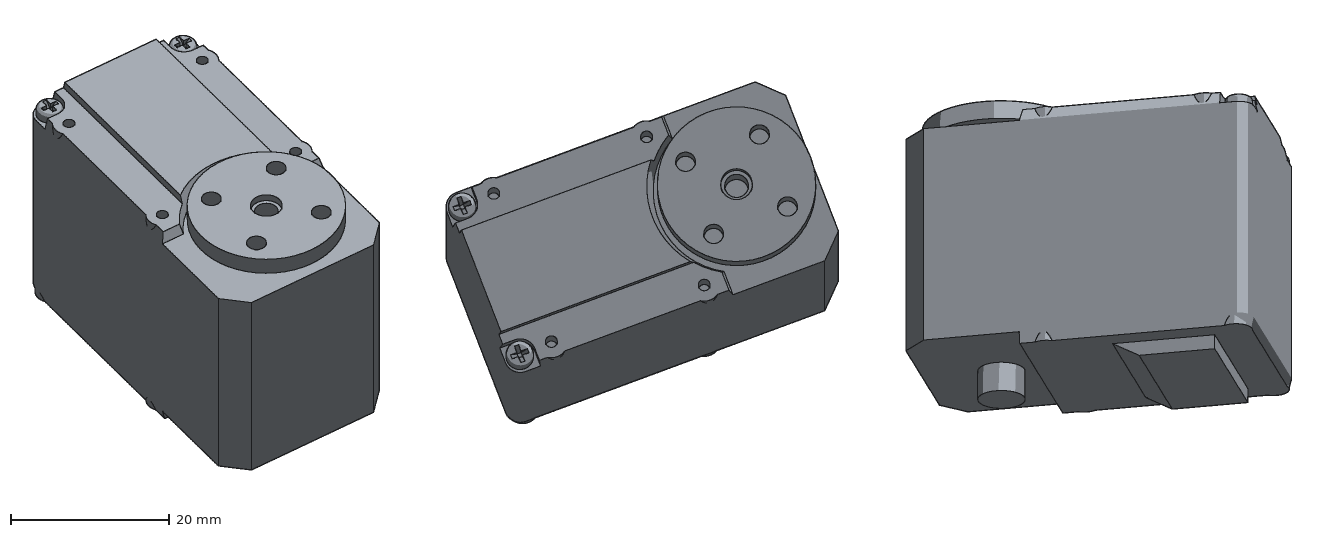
import cadquery as cq

CASE_LENGTH = 45.4
CASE_WIDTH = 24.8
CASE_HEIGHT = 28.85
CORNER_RADIUS = 2.0
NOSE_CHAMFER = 3.0
HALF_WIDTH = CASE_WIDTH / 2

LID_LENGTH = 30.0
DRAFT_ANGLE = 14.0
SHELF_HEIGHT = 1.6
RIDGE_HEIGHT = 2.72
RIDGE_WIDTH = 14.07
BOTTOM_LID_HEIGHT = 1.45
SCREW_HOLE_DIAMETER = 1.5
SCREW_HOLE_DEPTH = 3.0
BOSS_RADIUS = 2.1
BOSS_EDGE_DISTANCE = 2.15
BOSS_Y = HALF_WIDTH - BOSS_EDGE_DISTANCE
TOP_BOSS_X = (6.25, 26.9)
BOTTOM_BOSS_X = (2.35, 26.9)

CORNER_NOTCH = 4.0
SCREW_X = CORNER_NOTCH / 2
SCREW_HEAD_DIAMETER = 3.5
SCREW_HEAD_HEIGHT = 1.35
SCREW_HEAD_FILLET = 0.6
CROSS_LENGTH = 2.25
CROSS_WIDTH = 0.55
CROSS_DEPTH = 0.9

PLUG_START_X = 5.35
PLUG_FLAT_END_X = 15.15
PLUG_SLOPE_END_X = 18.6
PLUG_WIDTH = 18.55
PLUG_HEIGHT = 1.9

AXIS_X = 35.2
IDLER_DIAMETER = 6.0
IDLER_LENGTH = 3.85
HORN_DIAMETER = 20.0
HORN_THICKNESS = 2.4
HUB_DIAMETER = 9.0
HUB_HEIGHT = SHELF_HEIGHT
HORN_HOLE_DIAMETER = 2.5
HORN_HOLE_SPACING = 10.0
BORE_DIAMETER = 3.0
COUNTERBORE_DIAMETER = 4.0
COUNTERBORE_DEPTH = 1.0
RELIEF_BOTTOM_RADIUS = 10.55
RELIEF_TOP_RADIUS = 11.35


def make_case_block():
    block = cq.Workplane("XY").box(
        CASE_LENGTH, CASE_WIDTH, CASE_HEIGHT, centered=(False, True, False)
    )
    block = block.edges("|Z and <X").fillet(CORNER_RADIUS)
    return block.edges("|Z and >X").chamfer(NOSE_CHAMFER)


def make_bosses(x_positions, base_z, height):
    """Upright cylinders along both long sides that stand out of the drafted walls."""
    centers = [(x, side * BOSS_Y) for x in x_positions for side in (-1, 1)]
    return (
        cq.Workplane("XY", origin=(0, 0, base_z))
        .pushPoints(centers)
        .circle(BOSS_RADIUS)
        .extrude(height)
    )


def make_horn_relief():
    """Upward-opening cone that clears the horn."""
    base_center = cq.Vector(AXIS_X, 0, CASE_HEIGHT)
    cone = cq.Solid.makeCone(RELIEF_BOTTOM_RADIUS, RELIEF_TOP_RADIUS, RIDGE_HEIGHT, base_center)
    return cq.Workplane(cone)


def make_corner_notch(side):
    """Screw pocket in one corner of the top lid, rounded at its inner corner."""
    center_y = side * (HALF_WIDTH - CORNER_NOTCH / 2)
    notch = cq.Workplane("XY", origin=(CORNER_NOTCH / 2, center_y, CASE_HEIGHT)).box(
        CORNER_NOTCH, CORNER_NOTCH, RIDGE_HEIGHT, centered=(True, True, False)
    )
    inner_edge = "|Z and >X and <Y" if side > 0 else "|Z and >X and >Y"
    return notch.edges(inner_edge).fillet(CORNER_RADIUS)


def make_shelf_cut(side):
    """Space beside the ridge, above one of the two low shelves."""
    cut_width = (CASE_WIDTH - RIDGE_WIDTH) / 2
    cut_y = side * (RIDGE_WIDTH + cut_width) / 2
    return cq.Workplane("XY", origin=(0, cut_y, CASE_HEIGHT + SHELF_HEIGHT)).box(
        LID_LENGTH, cut_width, RIDGE_HEIGHT, centered=(False, True, False)
    )


def make_top_lid():
    lid = (
        cq.Workplane("XY", origin=(LID_LENGTH / 2, 0, CASE_HEIGHT))
        .rect(LID_LENGTH, CASE_WIDTH)
        .extrude(RIDGE_HEIGHT, taper=DRAFT_ANGLE)
    )
    for side in (-1, 1):
        lid = lid.cut(make_shelf_cut(side))
    lid = lid.union(make_bosses(TOP_BOSS_X, CASE_HEIGHT, SHELF_HEIGHT))
    lid = lid.cut(make_horn_relief())
    for side in (-1, 1):
        lid = lid.cut(make_corner_notch(side))
    return lid


def make_screw_holes():
    centers = [(x, side * BOSS_Y) for x in TOP_BOSS_X for side in (-1, 1)]
    return (
        cq.Workplane("XY", origin=(0, 0, CASE_HEIGHT + SHELF_HEIGHT))
        .pushPoints(centers)
        .circle(SCREW_HOLE_DIAMETER / 2)
        .extrude(-SCREW_HOLE_DEPTH)
    )


def make_screw_head(side):
    """Rounded head with a cross recess whose arms slope down to a flat square in the middle."""
    head = cq.Workplane("XY").circle(SCREW_HEAD_DIAMETER / 2).extrude(SCREW_HEAD_HEIGHT)
    head = head.faces(">Z").edges().fillet(SCREW_HEAD_FILLET)
    arm = (
        cq.Workplane("XZ")
        .moveTo(-CROSS_LENGTH / 2, SCREW_HEAD_HEIGHT)
        .lineTo(CROSS_LENGTH / 2, SCREW_HEAD_HEIGHT)
        .lineTo(CROSS_WIDTH / 2, SCREW_HEAD_HEIGHT - CROSS_DEPTH)
        .lineTo(-CROSS_WIDTH / 2, SCREW_HEAD_HEIGHT - CROSS_DEPTH)
        .close()
        .extrude(CROSS_WIDTH / 2, both=True)
    )
    head = head.cut(arm).cut(arm.rotate((0, 0, 0), (0, 0, 1), 90))
    return head.translate((SCREW_X, side * BOSS_Y, CASE_HEIGHT))


def make_bottom_lid():
    """Drafted lid with rounded corners, cut off square at the output end."""
    outline = cq.Sketch().rect(CASE_LENGTH, CASE_WIDTH).vertices().fillet(CORNER_RADIUS)
    lid = (
        cq.Workplane("XY", origin=(CASE_LENGTH / 2, 0, 0))
        .placeSketch(outline)
        .extrude(-BOTTOM_LID_HEIGHT, taper=DRAFT_ANGLE)
    )
    cut_off = cq.Workplane("XY", origin=(LID_LENGTH, 0, -BOTTOM_LID_HEIGHT)).box(
        CASE_LENGTH - LID_LENGTH, CASE_WIDTH, BOTTOM_LID_HEIGHT, centered=(False, True, False)
    )
    return lid.cut(cut_off).union(make_bosses(BOTTOM_BOSS_X, 0, -BOTTOM_LID_HEIGHT))


def make_plug_housing():
    plug_bottom = -BOTTOM_LID_HEIGHT - PLUG_HEIGHT
    return (
        cq.Workplane("XZ")
        .moveTo(PLUG_START_X, -BOTTOM_LID_HEIGHT)
        .lineTo(PLUG_START_X, plug_bottom)
        .lineTo(PLUG_FLAT_END_X, plug_bottom)
        .lineTo(PLUG_SLOPE_END_X, -BOTTOM_LID_HEIGHT)
        .close()
        .extrude(PLUG_WIDTH / 2, both=True)
    )


def make_idler_boss():
    return cq.Workplane("XY").center(AXIS_X, 0).circle(IDLER_DIAMETER / 2).extrude(-IDLER_LENGTH)


def make_case():
    case = make_case_block().union(make_top_lid()).cut(make_screw_holes())
    for side in (-1, 1):
        case = case.union(make_screw_head(side))
    return case.union(make_bottom_lid()).union(make_plug_housing()).union(make_idler_boss())


def make_horn():
    """Output disc and its hub, standing on the top face of the case."""
    hub = (
        cq.Workplane("XY", origin=(AXIS_X, 0, CASE_HEIGHT))
        .circle(HUB_DIAMETER / 2)
        .extrude(HUB_HEIGHT)
    )
    disc = hub.faces(">Z").workplane().circle(HORN_DIAMETER / 2).extrude(HORN_THICKNESS)
    horn = disc.faces(">Z").workplane().cboreHole(BORE_DIAMETER, COUNTERBORE_DIAMETER, COUNTERBORE_DEPTH)
    return (
        horn.faces(">Z")
        .workplane()
        .rect(HORN_HOLE_SPACING, HORN_HOLE_SPACING, forConstruction=True)
        .vertices()
        .hole(HORN_HOLE_DIAMETER)
    )


case = make_case()
horn = make_horn()

result = cq.Compound.makeCompound([case.val(), horn.val()])